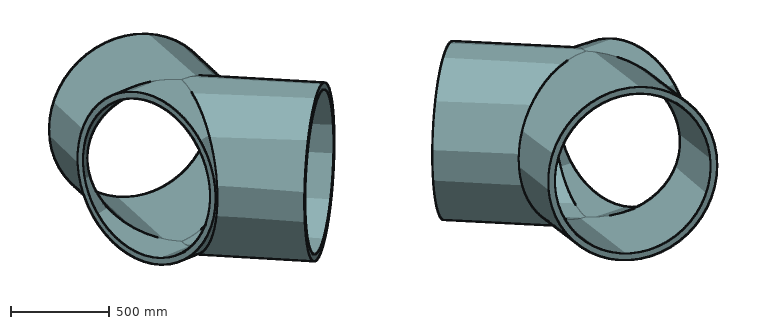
import cadquery as cq
import math

overall_width = 1689.0
outer_diameter = 914.0
bore_diameter = 841.0
front_length = 279.0
side_angle = 30.0

side_tilt = math.radians(side_angle)
outer_radius = outer_diameter / 2
side_length = (overall_width / 2 - outer_radius * math.sin(side_tilt)) / math.cos(side_tilt)

branches = [
    (-90.0, front_length),
    (side_angle, side_length),
    (180.0 - side_angle, side_length),
]


def merged_cylinders(diameter):
    """Join one cylinder per branch, each running out from the junction centre."""
    body = cq.Workplane("XY")
    for heading, length in branches:
        cylinder = cq.Workplane("YZ").circle(diameter / 2).extrude(length)
        body = body.union(cylinder.rotate((0, 0, 0), (0, 0, 1), heading))
    return body


def beyond_front_end():
    """Block in front of the front pipe's end face, where the side pipes' inner ends stick out."""
    return (
        cq.Workplane("XY")
        .box(overall_width, outer_diameter, outer_diameter)
        .translate((0, -front_length - outer_radius, 0))
    )


pipes = merged_cylinders(outer_diameter).cut(merged_cylinders(bore_diameter))
result = pipes.cut(beyond_front_end())